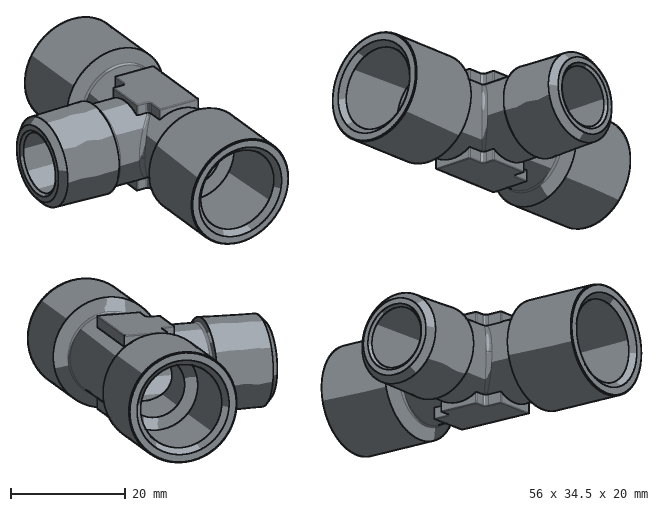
import cadquery as cq
import math


run_length = 56.0
overall_depth = 34.5
neck_radius = 7.5
bore_radius = 5.5
cone_rise = math.tan(math.radians(30))
shoulder_fillet = 0.5

collar_diameter = 20.0
collar_length = 14.3
collar_edge = 0.15
socket_radius = neck_radius
socket_mouth_radius = 8.5
socket_depth = collar_length

thread_start = 12.9
thread_start_radius = 8.45
thread_end_radius = 8.25
tip_length = 1.2
tip_radius = 7.0
branch_mouth_chamfer = 0.5

pad_half_width = neck_radius
pad_half_depth = 4.0
tongue_half_width = pad_half_depth
tongue_reach = 6.5
pad_half_height = 8.45
pad_edge = 0.15
crotch_fillet = 0.7

half_length = run_length / 2
collar_radius = collar_diameter / 2
branch_reach = overall_depth - collar_radius
collar_start = half_length - collar_length
neck_end = collar_start - (collar_radius - neck_radius) * cone_rise
branch_neck_end = thread_start - (thread_start_radius - neck_radius) * cone_rise


def turned(points):
    """Revolve an outline of (distance along X, radius) points about the X axis."""
    return cq.Workplane("XY").polyline(points).close().revolve(360, (0, 0, 0), (1, 0, 0))


def at_both_ends(solid):
    return solid.union(solid.mirror("YZ"))


def along_branch(solid):
    """Turn a solid that points along +X so that it points along -Y."""
    return solid.rotate((0, 0, 0), (0, 0, 1), -90)


def wrench_pads():
    outline = [
        (-pad_half_width, pad_half_depth),
        (-pad_half_width, -pad_half_depth),
        (-tongue_half_width, -pad_half_depth),
        (-tongue_half_width, -tongue_reach),
        (tongue_half_width, -tongue_reach),
        (tongue_half_width, -pad_half_depth),
        (pad_half_width, -pad_half_depth),
        (pad_half_width, pad_half_depth),
    ]
    return cq.Workplane("XY").polyline(outline).close().extrude(pad_half_height, both=True)


def upright_edges_near(body, x, y):
    """Vertical edges of both pads at one corner of their outline."""
    reach = pad_edge / 2
    zone = cq.selectors.BoxSelector(
        (x - reach, y - reach, -pad_half_height),
        (x + reach, y + reach, pad_half_height),
    )
    return body.edges("|Z").edges(zone)


def center_body():
    """Crossing tubes with a wrench pad above and below, blended where they meet."""
    run = cq.Workplane("YZ").circle(neck_radius).extrude(neck_end, both=True)
    branch = cq.Workplane("XZ").circle(neck_radius).extrude(branch_neck_end)
    body = run.union(branch).union(wrench_pads())

    crotches = body.edges("%ELLIPSE")
    for side in (-1, 1):
        crotches = crotches.add(upright_edges_near(body, side * tongue_half_width, -pad_half_depth))
    body = crotches.fillet(crotch_fillet)

    front_corners = body.newObject([])
    for side in (-1, 1):
        for x, y in ((pad_half_width, pad_half_depth), (tongue_half_width, tongue_reach)):
            front_corners = front_corners.add(upright_edges_near(body, side * x, -y))
    body = front_corners.fillet(pad_edge)
    return body.faces(">Z or <Z").edges().fillet(pad_edge)


def collar():
    return turned([
        (neck_end, 0),
        (neck_end, neck_radius),
        (collar_start, collar_radius),
        (half_length - collar_edge, collar_radius),
        (half_length, collar_radius - collar_edge),
        (half_length, 0),
    ])


def male_end():
    return along_branch(turned([
        (branch_neck_end, 0),
        (branch_neck_end, neck_radius),
        (thread_start, thread_start_radius),
        (branch_reach - tip_length, thread_end_radius),
        (branch_reach, tip_radius),
        (branch_reach, 0),
    ]))


def blend_shoulders(body):
    """Round the inside corner at the foot of each conical shoulder."""
    tolerance = shoulder_fillet / 10
    wide = collar_diameter
    bands = [
        ((x - tolerance, -wide, -wide), (x + tolerance, wide, wide))
        for x in (-neck_end, neck_end)
    ]
    bands.append((
        (-wide, -branch_neck_end - tolerance, -wide),
        (wide, -branch_neck_end + tolerance, wide),
    ))
    feet = body.newObject([])
    for low, high in bands:
        feet = feet.add(body.edges("%CIRCLE").edges(cq.selectors.BoxSelector(low, high)))
    return feet.fillet(shoulder_fillet)


def run_bore():
    return cq.Workplane("YZ").circle(bore_radius).extrude(half_length, both=True)


def socket():
    """Cutter for one socket: flared mouth, straight wall and conical bottom down to the bore."""
    mouth_depth = socket_mouth_radius - socket_radius
    wall_end = half_length - socket_depth
    bottom = wall_end - (socket_radius - bore_radius) * cone_rise
    return turned([
        (bottom, 0),
        (bottom, bore_radius),
        (wall_end, socket_radius),
        (half_length - mouth_depth, socket_radius),
        (half_length, socket_mouth_radius),
        (half_length, 0),
    ])


def branch_bore():
    return along_branch(turned([
        (0, 0),
        (0, bore_radius),
        (branch_reach - branch_mouth_chamfer, bore_radius),
        (branch_reach, bore_radius + branch_mouth_chamfer),
        (branch_reach, 0),
    ]))


result = center_body().union(at_both_ends(collar())).union(male_end())
result = blend_shoulders(result)
result = result.cut(run_bore()).cut(at_both_ends(socket())).cut(branch_bore())